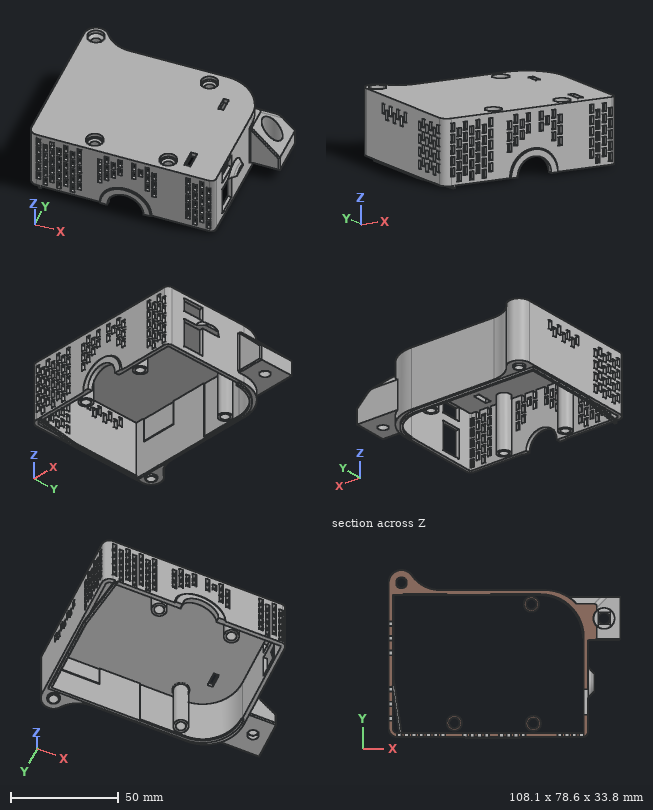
import cadquery as cq
import math

LENGTH = 93.0
BACK_Y = 68.65
HEIGHT = 32.5
WALL = 2.0
ROOF = 2.45
EAR_RADIUS = 6.0
EAR_Y = 72.0
EAR_BLEND_RADIUS = 16.0
BACK_CORNER_RADIUS = 20.0
INNER_CORNER_RADIUS = 22.3
FRONT_LEFT_RADIUS = 4.0
FRONT_RIGHT_RADIUS = 2.5

LIP_DEPTH = 1.25
LIP_INSET = 1.25
LIP_THICKNESS = 1.2
LIP_BEND_Y = 26.9
LIP_FRONT_X = 5.2
PAD_END_X = 47.7
PAD_RECESS_X = (7.0, 27.0)
PAD_RECESS_Z = 17.3

SCREW_POSTS = [(EAR_RADIUS, EAR_Y), (66.6, 62.0), (30.65, 6.6), (67.5, 6.4)]
POST_RADIUS = 3.6
SCREW_HOLE_RADIUS = 2.4
HEAD_RADIUS = 4.15
HEAD_DEPTH = 1.9
HEAD_CONE_DEPTH = 1.4
FOOT_TOP_RADIUS = 3.1
FOOT_TIP_RADIUS = 2.7
FOOT_HEIGHT = 0.8

TOP_SLOTS = [(78.05, 50.6, 2.55, 7.05), (77.15, 10.4, 3.0, 8.8)]

VENT_PITCH = 3.4
VENT_WIDTH = 2.0
VENT_HEIGHT = 4.0
FRONT_VENT_X = 5.0
FRONT_VENT_Z = 28.05
FRONT_VENT_ROW_PITCH = 5.4
FRONT_VENT_DROP = FRONT_VENT_ROW_PITCH / 2
FRONT_FULL_COLUMNS = [0, 1, 2, 3, 4, 5, 6, 22, 23, 24, 25]
FRONT_FULL_ROWS = 5
FRONT_ARCH_COLUMN_ROWS = {9: 3, 10: 3, 11: 2, 12: 2, 14: 2, 15: 1, 16: 3, 17: 3}
SIDE_VENT_Y = 22.3
SIDE_VENT_Z = 26.7
SIDE_VENT_COLUMNS = 6
SIDE_VENT_ROWS = 4
SIDE_VENT_ROW_PITCH = 6.2
SIDE_VENT_DROP = 2.0
REAR_VENT_Y = 56.3
REAR_VENT_Z = 26.0
REAR_VENT_COLUMNS = 7
REAR_VENT_HEIGHT = 4.65
REAR_VENT_DROP = 2.5

ARCH_X = 48.65
ARCH_RADIUS = 9.1
RIM_RADIUS = 13.0
RIM_FACE_RADIUS = 12.5
RIM_HEIGHT = 0.59

PORT_Y = (10.5, 22.3)
LOWER_PORT_Z = (3.0, 18.4)
UPPER_PORT_Z = (22.7, 30.0)
HOOD_Y = 25.5
HOOD_CENTRE_Z = 14.2
HOOD_BOTTOM_Z = LOWER_PORT_Z[1]
HOOD_RADII = [8.5, 6.8, 5.9]
HOOD_REACH = [0.0, 1.75, 3.0]

BRACKET_END_X = 108.1
BRACKET_Y = (45.3, 65.45)
BRACKET_BOTTOM_Z = 4.5
BRACKET_END_Z = 12.7
BRACKET_TOP_Z = 26.9
BRACKET_ROOT_X = 76.0
BRACKET_EDGE = 0.65
BRACKET_BACK_Z = 20.4
BRACKET_HIP_RADIUS = 2.2
BRACKET_FLARE = 0.8
BOLT_X = 100.5
BOLT_RADIUS = 2.7
BOLT_HEAD_RADIUS = 4.9
BOLT_SEAT_Z = 8.5
BRIDGE_HALF_WIDTH = 2.8
BRIDGE_LAYER = 0.3


def box(x, y, z):
    """Box from (low, high) pairs along each axis."""
    solid = cq.Workplane("XY").box(x[1] - x[0], y[1] - y[0], z[1] - z[0], centered=False)
    return solid.translate((x[0], y[0], z[0]))


def cylinder(x, y, radius, bottom, top):
    return cq.Workplane("XY", origin=(x, y, bottom)).circle(radius).extrude(top - bottom)


def cone(base, direction, radius, end_radius, height):
    solid = cq.Solid.makeCone(radius, end_radius, height, cq.Vector(*base), cq.Vector(*direction))
    return cq.Workplane(obj=solid)


def on_arc(centre, radius, angle):
    return (centre[0] + radius * math.cos(angle), centre[1] + radius * math.sin(angle))


def round_front_corners(block, inset):
    block = block.edges("|Z and <XY").fillet(FRONT_LEFT_RADIUS - inset)
    front_right = cq.selectors.NearestToPointSelector((LENGTH - inset, inset, HEIGHT / 2))
    return block.edges(front_right).fillet(FRONT_RIGHT_RADIUS - inset)


def body_block():
    """Solid cover with a round ear that runs into the back edge through a hollow arc."""
    ear = (EAR_RADIUS, EAR_Y)
    blend_rise = BACK_Y + EAR_BLEND_RADIUS - EAR_Y
    blend_run = math.sqrt((EAR_RADIUS + EAR_BLEND_RADIUS) ** 2 - blend_rise**2)
    blend = (ear[0] + blend_run, EAR_Y + blend_rise)
    meet_angle = math.atan2(blend_rise, blend_run)
    blend_mid_angle = (meet_angle + math.pi + 1.5 * math.pi) / 2
    corner = (LENGTH - BACK_CORNER_RADIUS, BACK_Y - BACK_CORNER_RADIUS)
    block = (
        cq.Workplane("XY")
        .lineTo(LENGTH, 0)
        .lineTo(LENGTH, corner[1])
        .threePointArc(on_arc(corner, BACK_CORNER_RADIUS, math.pi / 4), (corner[0], BACK_Y))
        .lineTo(blend[0], BACK_Y)
        .threePointArc(
            on_arc(blend, EAR_BLEND_RADIUS, blend_mid_angle), on_arc(ear, EAR_RADIUS, meet_angle)
        )
        .threePointArc(on_arc(ear, EAR_RADIUS, 0.75 * math.pi), (0, EAR_Y))
        .close()
        .extrude(HEIGHT)
    )
    return round_front_corners(block, 0)


def cavity():
    """Inside of the cover; the ear stays solid."""
    block = box((WALL, LENGTH - WALL), (WALL, BACK_Y - WALL), (0, HEIGHT - ROOF))
    block = block.edges("|Z and >XY").fillet(INNER_CORNER_RADIUS - WALL)
    return round_front_corners(block, WALL)


def bracket():
    slope_sum = BRACKET_END_X + BRACKET_END_Z
    profile = [
        (BRACKET_ROOT_X, BRACKET_BOTTOM_Z),
        (BRACKET_END_X, BRACKET_BOTTOM_Z),
        (BRACKET_END_X, BRACKET_END_Z),
        (slope_sum - BRACKET_TOP_Z, BRACKET_TOP_Z),
        (BRACKET_ROOT_X, BRACKET_TOP_Z),
    ]
    width = BRACKET_Y[1] - BRACKET_Y[0]
    block = cq.Workplane("XZ", origin=(0, BRACKET_Y[1], 0)).polyline(profile).close().extrude(width)
    lean = BRACKET_TOP_Z - BRACKET_BACK_Z
    cut = (
        cq.Workplane("YZ", origin=(BRACKET_ROOT_X, 0, 0))
        .polyline(
            [
                (BRACKET_Y[1], BRACKET_BACK_Z),
                (BRACKET_Y[1], BRACKET_TOP_Z),
                (BRACKET_Y[1] - lean, BRACKET_TOP_Z),
            ]
        )
        .close()
        .extrude(BRACKET_END_X - BRACKET_ROOT_X)
    )
    block = block.cut(cut)
    hip_x = slope_sum - (BRACKET_BACK_Z + BRACKET_TOP_Z) / 2
    hip = (hip_x, BRACKET_Y[1] - lean / 2, slope_sum - hip_x)
    block = block.edges(cq.selectors.NearestToPointSelector(hip)).fillet(BRACKET_HIP_RADIUS)
    block = block.faces("<Y").edges().chamfer(BRACKET_EDGE)
    flare = (
        cq.Workplane("XY", origin=(0, 0, BRACKET_BOTTOM_Z + BRACKET_EDGE))
        .polyline(
            [
                (LENGTH - WALL, BRACKET_Y[0] - BRACKET_FLARE / 2),
                (LENGTH, BRACKET_Y[0] - BRACKET_FLARE / 2),
                (LENGTH + BRACKET_FLARE, BRACKET_Y[0]),
                (LENGTH + BRACKET_FLARE, BRACKET_Y[0] + WALL),
                (LENGTH - WALL, BRACKET_Y[0] + WALL),
            ]
        )
        .close()
        .extrude(BRACKET_TOP_Z - BRACKET_EDGE - BRACKET_BOTTOM_Z - BRACKET_FLARE)
    )
    return block.union(flare)


def bracket_bolt_hole():
    """Counterbored hole whose seat steps in over two thin bridging layers."""
    y = (BRACKET_Y[0] + BRACKET_Y[1]) / 2
    layer_1 = BOLT_SEAT_Z - BRIDGE_LAYER
    layer_2 = layer_1 - BRIDGE_LAYER
    bridge_x = (BOLT_X - BRIDGE_HALF_WIDTH, BOLT_X + BRIDGE_HALF_WIDTH)
    head = cylinder(BOLT_X, y, BOLT_HEAD_RADIUS, BOLT_SEAT_Z, HEIGHT)
    strip = box(bridge_x, (y - BOLT_HEAD_RADIUS, y + BOLT_HEAD_RADIUS), (layer_1, BOLT_SEAT_Z))
    strip = strip.intersect(cylinder(BOLT_X, y, BOLT_HEAD_RADIUS, layer_1, BOLT_SEAT_Z))
    square = box(bridge_x, (y - BRIDGE_HALF_WIDTH, y + BRIDGE_HALF_WIDTH), (layer_2, layer_1))
    return head.union(strip).union(square).union(cylinder(BOLT_X, y, BOLT_RADIUS, 0, layer_2))


def hood():
    """Stepped cone on the right wall, cut flat underneath."""
    solid = box(
        (LENGTH - WALL, LENGTH),
        (HOOD_Y - HOOD_RADII[0], HOOD_Y + HOOD_RADII[0]),
        (HOOD_BOTTOM_Z, UPPER_PORT_Z[0]),
    )
    for i in range(len(HOOD_REACH) - 1):
        base = (LENGTH + HOOD_REACH[i], HOOD_Y, HOOD_CENTRE_Z)
        length = HOOD_REACH[i + 1] - HOOD_REACH[i]
        solid = solid.union(cone(base, (1, 0, 0), HOOD_RADII[i], HOOD_RADII[i + 1], length))
    below = box((LENGTH - WALL, BRACKET_END_X), (0, BACK_Y), (0, HOOD_BOTTOM_Z))
    return solid.cut(below)


def lip():
    """Lip under the back wall, its corner and the left side, with a pad inside the back wall.

    On the left the lip slants away from the wall and ends flush with the front face.
    """
    outer = LIP_INSET
    inner = LIP_INSET + LIP_THICKNESS
    depth = (-LIP_DEPTH, 0)
    corner = (LENGTH - INNER_CORNER_RADIUS, BACK_Y - INNER_CORNER_RADIUS)
    back_y = (BACK_Y - inner, BACK_Y - outer)
    back = box((outer, corner[0]), back_y, depth)
    pad = box((outer, PAD_END_X), back_y, (-LIP_DEPTH, HEIGHT - ROOF))
    recess_y = (BACK_Y - inner, BACK_Y - WALL)
    pad = pad.cut(box(PAD_RECESS_X, recess_y, (PAD_RECESS_Z, HEIGHT - ROOF)))
    left = box((outer, inner), (LIP_BEND_Y, BACK_Y - outer), depth)
    slanted = (
        cq.Workplane("XY", origin=(0, 0, -LIP_DEPTH))
        .polyline(
            [
                (outer, LIP_BEND_Y),
                (LIP_FRONT_X, 0),
                (LIP_FRONT_X + LIP_THICKNESS, 0),
                (inner, LIP_BEND_Y),
            ]
        )
        .close()
        .extrude(LIP_DEPTH)
    )
    ring = cylinder(*corner, INNER_CORNER_RADIUS - outer, *depth)
    ring = ring.cut(cylinder(*corner, INNER_CORNER_RADIUS - inner, *depth))
    ring = ring.intersect(box((corner[0], LENGTH), (corner[1], BACK_Y), depth))
    return back.union(pad).union(left).union(slanted).union(ring)


def front_vents():
    column_rows = {column: FRONT_FULL_ROWS for column in FRONT_FULL_COLUMNS}
    column_rows.update(FRONT_ARCH_COLUMN_ROWS)
    spots = []
    for column, rows in column_rows.items():
        top = FRONT_VENT_Z - FRONT_VENT_DROP * (column % 2)
        for row in range(rows):
            spots.append((FRONT_VENT_X + VENT_PITCH * column, top - FRONT_VENT_ROW_PITCH * row))
    return cq.Workplane("XZ").pushPoints(spots).rect(VENT_WIDTH, VENT_HEIGHT).extrude(-WALL)


def left_vents():
    side_spots = []
    for column in range(SIDE_VENT_COLUMNS):
        top = SIDE_VENT_Z - SIDE_VENT_DROP * (1 - column % 2)
        for row in range(SIDE_VENT_ROWS):
            side_spots.append((SIDE_VENT_Y - VENT_PITCH * column, top - SIDE_VENT_ROW_PITCH * row))
    rear_spots = []
    for column in range(REAR_VENT_COLUMNS):
        rear_spots.append((REAR_VENT_Y - VENT_PITCH * column, REAR_VENT_Z - REAR_VENT_DROP * (column % 2)))
    side = cq.Workplane("YZ").pushPoints(side_spots).rect(VENT_WIDTH, VENT_HEIGHT).extrude(WALL)
    rear = cq.Workplane("YZ").pushPoints(rear_spots).rect(VENT_WIDTH, REAR_VENT_HEIGHT).extrude(WALL)
    return side.union(rear)


def add_posts(shell):
    for x, y in SCREW_POSTS:
        shell = shell.union(cylinder(x, y, POST_RADIUS, 0, HEIGHT))
    foot_base = (*SCREW_POSTS[0], 0)
    shell = shell.union(cone(foot_base, (0, 0, -1), FOOT_TOP_RADIUS, FOOT_TIP_RADIUS, FOOT_HEIGHT))
    for x, y in SCREW_POSTS:
        shell = shell.cut(cylinder(x, y, SCREW_HOLE_RADIUS, -LIP_DEPTH, HEIGHT))
        seat_z = HEIGHT - HEAD_DEPTH
        shell = shell.cut(cylinder(x, y, HEAD_RADIUS, seat_z, HEIGHT))
        seat = cone((x, y, seat_z), (0, 0, -1), HEAD_RADIUS, SCREW_HOLE_RADIUS, HEAD_CONE_DEPTH)
        shell = shell.cut(seat)
    return shell


def add_arch(shell):
    rim = cone((ARCH_X, 0, 0), (0, -1, 0), RIM_RADIUS, RIM_FACE_RADIUS, RIM_HEIGHT)
    rim = rim.intersect(
        box((ARCH_X - RIM_RADIUS, ARCH_X + RIM_RADIUS), (-RIM_HEIGHT, 0), (0, RIM_RADIUS))
    )
    opening = cq.Workplane("XZ", origin=(ARCH_X, -RIM_HEIGHT, 0)).circle(ARCH_RADIUS)
    return shell.union(rim).cut(opening.extrude(-RIM_HEIGHT - WALL))


shell = body_block().union(bracket()).union(hood())
shell = shell.cut(cavity())
shell = shell.cut(bracket_bolt_hole())
shell = shell.cut(front_vents()).cut(left_vents())
for port_z in (LOWER_PORT_Z, UPPER_PORT_Z):
    shell = shell.cut(box((LENGTH - WALL, LENGTH), PORT_Y, port_z))
for slot_x, slot_y, size_x, size_y in TOP_SLOTS:
    slot = cq.Workplane("XY", origin=(slot_x, slot_y, HEIGHT - ROOF)).rect(size_x, size_y).extrude(ROOF)
    shell = shell.cut(slot)
shell = add_arch(shell).union(lip())
result = add_posts(shell)